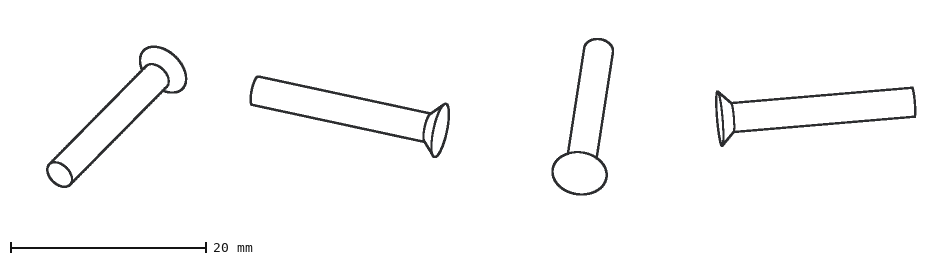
import cadquery as cq

total_length = 20.0
shank_diameter = 3.0
head_diameter = 5.6

shank_radius = shank_diameter / 2
head_radius = head_diameter / 2
head_height = head_radius - shank_radius

shank_end_y = -total_length / 2
head_face_y = total_length / 2
head_base_y = head_face_y - head_height

half_section = (
    cq.Workplane("XY")
    .moveTo(0, shank_end_y)
    .lineTo(shank_radius, shank_end_y)
    .lineTo(shank_radius, head_base_y)
    .lineTo(head_radius, head_face_y)
    .lineTo(0, head_face_y)
    .close()
)

result = half_section.revolve(360, (0, 0, 0), (0, 1, 0))